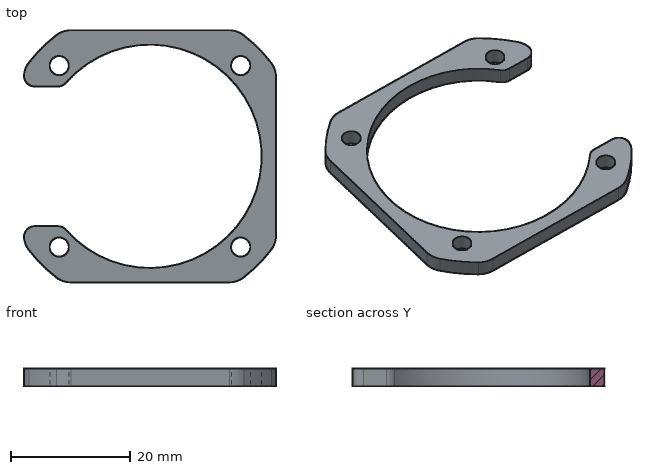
import cadquery as cq
import math

side = 42.4
thickness = 3.0
bore_radius = 18.75
outer_radius = 25.75
corner_blend = 4.0
lip_y = 11.7
lip_blend = 1.85
hole_diameter = 3.2
hole_spacing = 30.5

half = side / 2

blend_near = half - corner_blend
blend_far = math.sqrt((outer_radius - corner_blend) ** 2 - blend_near**2)
top_blends = [(-blend_far, blend_near), (blend_far, blend_near)]
left_blend = (-blend_near, blend_far)
right_blend = (blend_near, blend_far)

lip_centre_y = lip_y + lip_blend
tip_reach = math.sqrt((corner_blend - lip_blend) ** 2 - (lip_centre_y - blend_far) ** 2)
tip_centre = (-blend_near - tip_reach, lip_centre_y)
throat_x = -math.sqrt((bore_radius + lip_blend) ** 2 - lip_centre_y**2)
throat_centre = (throat_x, lip_centre_y)


def point_toward(start, target, distance):
    """Point at the given distance from start on the ray through target."""
    scale = distance / math.dist(start, target)
    return tuple(s + scale * (t - s) for s, t in zip(start, target))


def arc_to(path, start, end, centre):
    """Add the shorter arc about centre from start to end."""
    chord_middle = tuple((s + e) / 2 for s, e in zip(start, end))
    middle = point_toward(centre, chord_middle, math.dist(centre, end))
    return path.threePointArc(middle, end)


origin = (0.0, 0.0)

throat_bore = point_toward(origin, throat_centre, bore_radius)
throat_lip = (throat_x, lip_y)
tip_lip = (tip_centre[0], lip_y)
tip_blend = point_toward(left_blend, tip_centre, corner_blend)
left_rim = point_toward(origin, left_blend, outer_radius)
top_left_rim = point_toward(origin, top_blends[0], outer_radius)
top_left = (-blend_far, half)
top_right = (blend_far, half)
top_right_rim = point_toward(origin, top_blends[1], outer_radius)
right_rim = point_toward(origin, right_blend, outer_radius)
right_side = (half, blend_far)
bore_right = (bore_radius, 0.0)

path = cq.Workplane("XY").moveTo(*bore_right)
path = arc_to(path, bore_right, throat_bore, origin)
path = arc_to(path, throat_bore, throat_lip, throat_centre)
path = path.lineTo(*tip_lip)
path = arc_to(path, tip_lip, tip_blend, tip_centre)
path = arc_to(path, tip_blend, left_rim, left_blend)
path = arc_to(path, left_rim, top_left_rim, origin)
path = arc_to(path, top_left_rim, top_left, top_blends[0])
path = path.lineTo(*top_right)
path = arc_to(path, top_right, top_right_rim, top_blends[1])
path = arc_to(path, top_right_rim, right_rim, origin)
path = arc_to(path, right_rim, right_side, right_blend)
path = path.lineTo(half, 0)
half_clip = path.close().extrude(thickness)

clip = half_clip.union(half_clip.mirror("XZ")).clean()

holes = (
    cq.Workplane("XY")
    .rarray(hole_spacing, hole_spacing, 2, 2)
    .circle(hole_diameter / 2)
    .extrude(thickness)
)
result = clip.cut(holes)